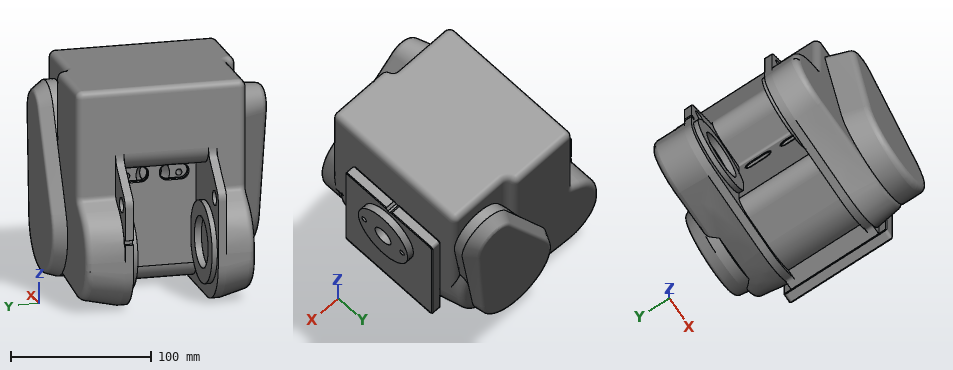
import cadquery as cq
import math

block_left, block_right = 26.5, 138.0
block_bottom, block_top = 56.0, 160.0
front_left_y, front_right_y = -59.0, -66.0
back_left_y, back_right_y = 65.8, 58.0
front_step_x, back_step_x = 78.2, 80.2
step_length = 10.0
edge_round = 5.0

toe_z, toe_radius = 35.2, 28.2
heel_z, heel_radius = 55.4, 38.9
shoulder_z, shoulder_radius = 40.2, 40.3
shoulder_turn = math.radians(55)
neck_radius = 5.0
crown_radius = 38.9

plate_inner_y, plate_outer_y = 31.2, 37.5
plate_toe_radius, plate_heel_radius = 31.0, 40.0
plate_nose_z, plate_brow_z = 84.2, 106.5
plate_corner_radius, plate_top_z = 10.0, 115.2
plate_hole_center, plate_hole_radius = (10.5, 79.4), 5.5
pad_bottom, pad_root_radius = 16.8, 4.0
notch_z, notch_height, notch_depth = 54.0, 3.5, 2.9
pin_hole_center, pin_hole_radius = (35.8, 81.6), 1.3

ring_center, ring_radius, ring_bore_radius = (32.6, 40.5), 30.0, 18.9
ring_thickness, ring_bore_depth = 3.8, 5.1

wall_x = 61.0
recess_mouth_z, recess_lip_radius, recess_root_radius = 112.0, 14.0, 2.0
core_bottom, core_round = 4.5, 13.1

slot_y, slot_z, slot_length, slot_height, slot_depth = 14.9, 85.6, 22.0, 12.0, 3.2
slot_chamfer = 0.6
screw_hole_y, screw_hole_radius = 19.2, 2.2
bore_radius, bore_mouth_radius, bore_taper = 8.0, 12.3, 6.4

flange_end, flange_half_width, flange_top = 146.2, 44.0, 114.0
flange_corner, flange_chamfer = 2.5, 0.6
groove_half_top, groove_half_bottom, groove_depth = 2.9, 1.0, 2.0
spigot_end, spigot_radius, spigot_z = 152.0, 25.0, 83.8

front_cover_y = -79.0
front_cover_base = ((53.3, 133.0), 17.3, (96.8, 57.8), 41.1)
front_cover_face = ((57.0, 133.8), 14.0, (99.5, 56.6), 38.2)
front_cover_round = 5.0
back_cover_y = 75.5
back_cover_base = ((114.4, 120.6), 23.4, (90.5, 44.0), 37.3)
back_cover_face = ((113.3, 120.8), 16.6, (92.3, 43.5), 34.0)
back_cover_round = 2.9


def on_circle(center, radius, angle):
    return (center[0] + radius * math.cos(angle), center[1] + radius * math.sin(angle))


def tangent_angle(center_a, radius_a, center_b, radius_b, side):
    """Angle of the contact points of an outer tangent; side is +1 left, -1 right of a to b."""
    dx = center_b[0] - center_a[0]
    dy = center_b[1] - center_a[1]
    spread = math.acos((radius_a - radius_b) / math.hypot(dx, dy))
    return math.atan2(dy, dx) + side * spread


def rounded_corner(before, corner, after, radius):
    """Points where an arc of the given radius starts and ends when it rounds a corner."""
    angle_in = math.atan2(before[1] - corner[1], before[0] - corner[0])
    angle_out = math.atan2(after[1] - corner[1], after[0] - corner[0])
    setback = abs(radius / math.tan((angle_out - angle_in) / 2))
    return on_circle(corner, setback, angle_in), on_circle(corner, setback, angle_out)


def xz_plane(y):
    return cq.Workplane("XZ", origin=(0, y, 0))


def loft(wire_a, wire_b):
    return cq.Workplane(cq.Solid.makeLoft([wire_a, wire_b], True))


def cylinder_y(center, radius, y_from, y_to):
    """Cylinder along Y, with its (x, z) centre given."""
    return xz_plane(y_to).center(*center).circle(radius).extrude(y_to - y_from)


def box(x, y, z):
    """Box from (low, high) pairs along each axis."""
    size = (x[1] - x[0], y[1] - y[0], z[1] - z[0])
    return cq.Workplane("XY").box(*size, centered=False).translate((x[0], y[0], z[0]))


def s_step(outline, start, end):
    """Go to start along X, then on to end by two equal tangent arcs."""
    middle = ((start[0] + end[0]) / 2, (start[1] + end[1]) / 2)
    outline = outline.lineTo(*start).tangentArcPoint(middle, relative=False)
    return outline.tangentArcPoint(end, relative=False)


def main_block():
    outline = cq.Workplane("XY", origin=(0, 0, block_bottom)).moveTo(block_left, front_left_y)
    outline = s_step(outline, (front_step_x, front_left_y), (front_step_x + step_length, front_right_y))
    outline = outline.lineTo(block_right, front_right_y).lineTo(block_right, back_right_y)
    outline = s_step(outline, (back_step_x + step_length, back_right_y), (back_step_x, back_left_y))
    outline = outline.lineTo(block_left, back_left_y).close()
    block = outline.extrude(block_top - block_bottom)
    corners = cq.selectors.BoxSelector
    left_corners = corners((block_left - 1.6, -158.4, 0), (block_left + 1.6, 158.4, block_top - 1.6))
    right_corners = corners((block_right - 1.6, -158.4, 0), (block_right + 1.6, 158.4, block_top - 1.6))
    upright = block.edges("|Z").edges(left_corners + right_corners)
    return upright.fillet(edge_round).faces(">Z").edges().fillet(edge_round)


def lug_wire(y, toe_z, toe_radius, heel_z, heel_radius):
    """Lug outline; only the toe, the heel and the sole between them change along the lug."""
    toe = (toe_radius, toe_z)
    heel = (block_right - heel_radius, heel_z)
    sole = tangent_angle(toe, toe_radius, heel, heel_radius, -1)

    shoulder = (shoulder_radius, shoulder_z)
    crown_z = block_bottom + crown_radius
    slope_start = on_circle(shoulder, shoulder_radius, math.pi - shoulder_turn)
    neck_rise = (block_left - slope_start[0]) / math.tan(shoulder_turn)
    neck = (block_left, slope_start[1] + neck_rise)
    neck_start, neck_end = rounded_corner(slope_start, neck, (block_left, crown_z), neck_radius)
    crown = (block_right - crown_radius, block_bottom)
    outline = (
        xz_plane(y)
        .moveTo(0, toe_z)
        .lineTo(0, shoulder_z)
        .threePointArc(on_circle(shoulder, shoulder_radius, math.pi - shoulder_turn / 2), slope_start)
        .lineTo(*neck_start)
        .tangentArcPoint(neck_end, relative=False)
        .lineTo(block_left, crown_z)
        .lineTo(crown[0], crown_z)
        .threePointArc(on_circle(crown, crown_radius, math.pi / 4), (block_right, block_bottom))
        .lineTo(block_right, heel_z)
        .threePointArc(on_circle(heel, heel_radius, sole / 2), on_circle(heel, heel_radius, sole))
        .lineTo(*on_circle(toe, toe_radius, sole))
        .threePointArc(on_circle(toe, toe_radius, (sole - math.pi) / 2), (0, toe_z))
        .close()
    )
    return outline.val()


def lug(root_y, face_y, face_selector):
    root = lug_wire(root_y, plate_toe_radius, plate_toe_radius, plate_heel_radius, plate_heel_radius)
    face = lug_wire(face_y, toe_z, toe_radius, heel_z, heel_radius)
    return loft(root, face).faces(face_selector).edges().fillet(edge_round)


def fork_plate(y_from, y_to):
    heel = (block_right - plate_heel_radius, plate_heel_radius)
    root_z = pad_bottom - pad_root_radius
    root_angle = math.asin((root_z - heel[1]) / (plate_heel_radius + pad_root_radius))
    root = on_circle(heel, plate_heel_radius + pad_root_radius, root_angle)
    heel_end = on_circle(heel, plate_heel_radius, root_angle)
    root_middle = on_circle(root, pad_root_radius, (root_angle + 3 * math.pi / 2) / 2)
    toe = (plate_toe_radius, plate_toe_radius)
    nose = (0, plate_nose_z)
    brow = (block_left, plate_brow_z)
    nose_start, nose_end = rounded_corner((0, 0), nose, brow, plate_corner_radius)
    brow_start, brow_end = rounded_corner(nose, brow, (block_left, plate_top_z), plate_corner_radius)
    outline = (
        xz_plane(y_to)
        .moveTo(0, plate_toe_radius)
        .lineTo(*nose_start)
        .tangentArcPoint(nose_end, relative=False)
        .lineTo(*brow_start)
        .tangentArcPoint(brow_end, relative=False)
        .lineTo(block_left, plate_top_z)
        .lineTo(block_right, plate_top_z)
        .lineTo(block_right, pad_bottom)
        .lineTo(root[0], pad_bottom)
        .threePointArc(root_middle, heel_end)
        .threePointArc(on_circle(heel, plate_heel_radius, (root_angle - math.pi / 2) / 2), (heel[0], 0))
        .lineTo(plate_toe_radius, 0)
        .threePointArc(on_circle(toe, plate_toe_radius, -3 * math.pi / 4), (0, plate_toe_radius))
        .close()
    )
    plate = outline.extrude(y_to - y_from)
    return plate.cut(cylinder_y(plate_hole_center, plate_hole_radius, y_from, y_to))


def recess():
    ceiling_z = recess_mouth_z - recess_lip_radius
    lip_center = (block_left + recess_lip_radius, recess_mouth_z)
    lip_bend = on_circle(lip_center, recess_lip_radius, -3 * math.pi / 4)
    outline = (
        xz_plane(plate_inner_y)
        .moveTo(block_left, recess_mouth_z)
        .threePointArc(lip_bend, (block_left + recess_lip_radius, ceiling_z))
        .lineTo(wall_x - recess_root_radius, ceiling_z)
        .tangentArcPoint((wall_x, ceiling_z - recess_root_radius), relative=False)
        .lineTo(wall_x, block_bottom)
        .lineTo(block_left, block_bottom)
        .close()
    )
    return outline.extrude(2 * plate_inner_y)


def core():
    width = (-plate_outer_y, plate_outer_y)
    upper = box((wall_x, block_right), width, (pad_bottom, block_bottom))
    keel_end = block_right - plate_heel_radius
    keel = box((wall_x, keel_end), width, (core_bottom, block_bottom))
    keel = keel.edges("|Y and <X and <Z").fillet(core_round)
    heel_center = (keel_end, plate_heel_radius)
    heel_fill = cylinder_y(heel_center, plate_heel_radius - core_bottom, *width)
    return keel.union(heel_fill).union(upper)


def bearing_ring(side):
    y_inner = side * (plate_inner_y - ring_thickness)
    y_seat = side * plate_inner_y
    ring = cylinder_y(ring_center, ring_radius, min(y_inner, y_seat), max(y_inner, y_seat))
    return ring.intersect(box((0, wall_x), (-plate_inner_y, plate_inner_y), (0, block_top)))


def ring_bore(side):
    y_inner = side * (plate_inner_y - ring_thickness)
    y_floor = y_inner + side * ring_bore_depth
    return cylinder_y(ring_center, ring_bore_radius, min(y_inner, y_floor), max(y_inner, y_floor))


def cover_wire(y, small, small_radius, big, big_radius):
    """Two circles joined by their outer tangents."""
    right = tangent_angle(small, small_radius, big, big_radius, 1)
    left = tangent_angle(small, small_radius, big, big_radius, -1)
    toward_big = (right + left) / 2
    small_tip = on_circle(small, small_radius, toward_big + math.pi)
    return (
        xz_plane(y)
        .moveTo(*on_circle(small, small_radius, left))
        .threePointArc(small_tip, on_circle(small, small_radius, right))
        .lineTo(*on_circle(big, big_radius, right))
        .threePointArc(on_circle(big, big_radius, toward_big), on_circle(big, big_radius, left))
        .close()
    )


def front_cover():
    base = cover_wire(front_left_y, *front_cover_base).val()
    face = cover_wire(front_cover_y, *front_cover_face).val()
    return loft(base, face).faces("<Y").edges().fillet(front_cover_round)


def back_cover():
    base = cover_wire(back_left_y, *back_cover_base)
    face = cover_wire(back_cover_y, *back_cover_face).val()
    dome = loft(base.val(), face).faces(">Y").edges().fillet(back_cover_round)
    skirt = base.extrude(back_left_y - back_right_y)
    return dome.union(skirt)


def flange():
    width = (-flange_half_width, flange_half_width)
    plate = box((block_right, flange_end), width, (pad_bottom, flange_top))
    plate = plate.edges("|X").fillet(flange_corner)
    plate = plate.faces("<X or >X").edges().chamfer(flange_chamfer)
    groove = (
        cq.Workplane("YZ", origin=(block_right, 0, 0))
        .moveTo(-groove_half_top, flange_top)
        .lineTo(-groove_half_bottom, flange_top - groove_depth)
        .lineTo(groove_half_bottom, flange_top - groove_depth)
        .lineTo(groove_half_top, flange_top)
        .close()
        .extrude(flange_end - block_right)
    )
    spigot = (
        cq.Workplane("YZ", origin=(flange_end, 0, 0))
        .center(0, spigot_z)
        .circle(spigot_radius)
        .extrude(spigot_end - flange_end)
    )
    return plate.cut(groove).union(spigot)


def wall_openings():
    wall = cq.Workplane("YZ", origin=(wall_x, 0, 0))
    slot_places = wall.pushPoints([(-slot_y, slot_z), (slot_y, slot_z)])
    rims = slot_places.slot2D(slot_length, slot_height).extrude(slot_chamfer, taper=45)
    floor_size = (slot_length - 2 * slot_chamfer, slot_height - 2 * slot_chamfer)
    slots = slot_places.slot2D(*floor_size).extrude(slot_depth).union(rims)
    screw_points = [(-screw_hole_y, spigot_z), (screw_hole_y, spigot_z)]
    screw_holes = wall.pushPoints(screw_points).circle(screw_hole_radius).extrude(spigot_end - wall_x)
    bore_axis = cq.Vector(1, 0, 0)
    bore_start = cq.Vector(wall_x + slot_depth, 0, spigot_z)
    mouth = cq.Solid.makeCone(bore_mouth_radius, bore_radius, bore_taper, bore_start, bore_axis)
    bore = cq.Solid.makeCylinder(bore_radius, spigot_end - bore_start.x, bore_start, bore_axis)
    return slots.union(screw_holes).union(cq.Workplane(mouth)).union(cq.Workplane(bore))


body = main_block().cut(recess()).union(core())
body = body.union(lug(-plate_outer_y, front_left_y, "<Y"))
body = body.union(lug(plate_outer_y, back_left_y, ">Y"))
body = body.union(fork_plate(-plate_outer_y, -plate_inner_y))
body = body.union(fork_plate(plate_inner_y, plate_outer_y))
body = body.union(front_cover()).union(back_cover()).union(flange())
for side in (-1, 1):
    body = body.union(bearing_ring(side)).cut(ring_bore(side))
notch_span = (notch_z - notch_height / 2, notch_z + notch_height / 2)
notch = box((0, notch_depth), (plate_inner_y, plate_outer_y), notch_span)
pin_hole = cylinder_y(pin_hole_center, pin_hole_radius, plate_inner_y, plate_outer_y)
result = body.cut(notch).cut(pin_hole).cut(wall_openings())